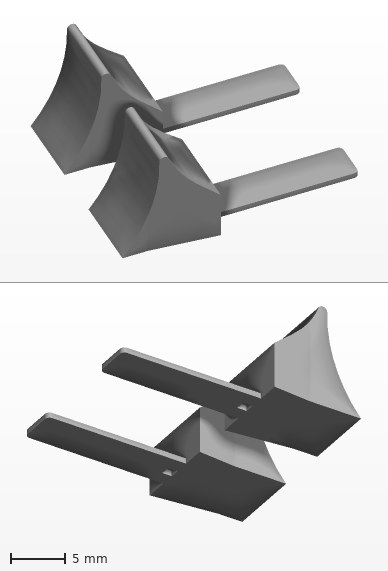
import cadquery as cq
import math

key_count = 2
total_width = 21.7
total_length = 24.65
total_height = 10.9
head_width = 8.7
key_pitch = total_width - head_width

head_depth = 9.6
back_wall_height = 4.85
crest_radius = 0.5
crest_front_y = 3.67
crest_center_y = crest_front_y + crest_radius
crest_center_height = total_height - crest_radius
crest_back_angle = math.radians(22)
crest_back_y = crest_center_y + crest_radius * math.cos(crest_back_angle)
crest_back_height = crest_center_height + crest_radius * math.sin(crest_back_angle)
front_mid_y = 2.41
front_mid_height = 3.9
slope_upper_y = 5.6
slope_upper_height = 8.72
slope_lower_y = 7.35
slope_lower_height = 6.78

left_taper_start_y = 5.6
left_flare = 0.37
right_taper_start_y = 2.59
right_flare = 0.71

tang_width = 3.97
tang_thickness = 0.57
tang_corner_radius = 0.5
tang_length = total_length - head_depth
slot_width = 1.03
slot_length = 1.0


def head_profile():
    """Side profile of the head, extruded across its full width."""
    return (
        cq.Workplane("YZ")
        .moveTo(0, 0)
        .threePointArc((front_mid_y, front_mid_height), (crest_front_y, crest_center_height))
        .threePointArc((crest_center_y, total_height), (crest_back_y, crest_back_height))
        .spline(
            [
                (slope_upper_y, slope_upper_height),
                (slope_lower_y, slope_lower_height),
                (head_depth, back_wall_height),
            ],
            includeCurrent=True,
        )
        .lineTo(head_depth, 0)
        .close()
        .extrude(head_width)
    )


def head_footprint():
    """Plan outline of the head, extruded to its full height."""
    front_right_x = head_width - right_flare
    return (
        cq.Workplane("XY")
        .polyline(
            [
                (left_flare, 0),
                (front_right_x, 0),
                (front_right_x, right_taper_start_y),
                (head_width, head_depth),
                (0, head_depth),
                (left_flare, left_taper_start_y),
            ]
        )
        .close()
        .extrude(total_height)
    )


def tang():
    """Flat strip with rounded end corners and a slot open toward the head."""
    strip = (
        cq.Workplane("XY")
        .box(tang_width, tang_length, tang_thickness, centered=(True, False, False))
        .edges("|Z and >Y")
        .fillet(tang_corner_radius)
    )
    slot = cq.Workplane("XY").box(
        slot_width, slot_length, tang_thickness, centered=(True, False, False)
    )
    return strip.cut(slot).translate((head_width / 2, head_depth, 0))


def key():
    """One complete key: tapered head and tang as a single solid."""
    return head_profile().intersect(head_footprint()).union(tang())


keys = []
for index in range(key_count):
    keys.append(key().translate((index * key_pitch, 0, 0)).solids().val())

result = cq.Compound.makeCompound(keys)